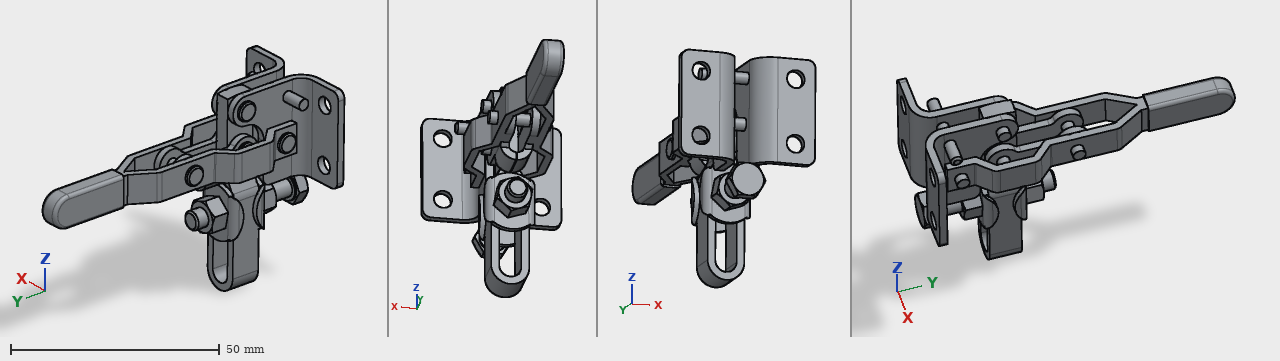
import cadquery as cq
import math

TILT = 0.9
STRIP = 2.0
EPS = 0.0001

BASE_WIDTH = 34.0
BASE_HEIGHT = 26.0
BASE_INNER = STRIP
BASE_OUTER = BASE_INNER + STRIP
BEND_INNER = 3.4
BEND_OUTER = BEND_INNER + STRIP
FLANGE_CORNER = 2.0
MOUNT_HOLE_DIA = 4.4
MOUNT_PITCH_X = 24.0
MOUNT_PITCH_Z = 16.0
FOOT_DEPTH = 14.2
EAR_RADIUS = 4

PIN_DIA = 3.2
HEAD_DIA = 5.15
HEAD_THICKNESS = 1.0
HEAD_EDGE = 0.4
PIN_TAIL = 2.0
STOP_PIN_DIA = 2.9
STOP_PIN_LENGTH = 19.9
STOP_PIN_END = (0.5, 0.6)

HANDLE_Z = 11.1
ARM_Y = 20.05
BASE_TO_HANDLE = (8.9, 10.9)
HANDLE_TO_LINK = (38, HANDLE_Z)
ARM_TO_LINK = (ARM_Y, HANDLE_Z)
BASE_TO_ARM = (ARM_Y, BASE_HEIGHT - EAR_RADIUS)
STOP_PIN_AT = (6.8, 21.9)

STRIP_HEIGHT = 7.9
HANDLE_START = 5.5
HANDLE_INNER = BASE_OUTER
HANDLE_OUTER = HANDLE_INNER + STRIP
BULGE_OUTER = 10.0
BULGE_START = 12.35
BULGE_END = 31.4
FORK_START = 48.7
FORK_END = 55.45
HANDLE_BEND = 2.5
HANDLE_CREASE = 0.5
GRIP_START = 57.1
GRIP_END = 79.0
GRIP_WIDTH = 5.1
GRIP_HEIGHT = 9.0
GRIP_EDGE = 0.95

WAIST_TOP = 12.8
WAIST_FILLET = 1.75
GUTTER_START = 24.4
GUTTER_END = 32.1
GUTTER_GAP = 0.2
RELIEF_LENGTH = 0.8
RELIEF_DEPTH = 1.75
RELIEF_RADIUS = 0.7
GUTTER_LEAD = 0.95

ARM_WIDTH = 8.1
ARM_CORNER_Z = 25.6
ARM_CROWN_Z = 26.0
LOOP_OUTER = 4.7
LOOP_CENTRE_Z = -21.3
SPREAD_TOP = 4.8
SPREAD_BOTTOM = 0.15
SPREAD_BEND_TOP = 2.0
SPREAD_BEND_BOTTOM = 4

SPINDLE_Z = -4.75
WASHER_RADIUS = 7.4
WASHER_THICKNESS = 1.4
WASHER_BEND = 1.9
WASHER_FLANGE = 3.4
FLANGE_EDGE_RADIUS = 7.05
SPINDLE_DIA = 5.0
SPINDLE_END = 33.7
SPINDLE_CHAMFER = 0.5
HEX_FLATS = 8.0
HEX_BEVEL = 0.4
HEX_CORNERS = HEX_FLATS / math.cos(math.radians(30))
HEAD_START = 0.1
SPINDLE_HEAD = 3.2
COLLAR_DIA = 7.0
COLLAR_THICKNESS = 0.5
NUT_THICKNESS = 4.6
NUT_TURN = 19


def cylinder_x(place, diameter, x_start, x_end):
    """Round bar along X at the given (y, z)."""
    return (
        cq.Workplane("YZ", origin=(x_start, 0, 0))
        .center(*place)
        .circle(diameter / 2)
        .extrude(x_end - x_start)
    )


def cylinder_y(diameter, y_start, y_end):
    """Round bar along Y on the spindle axis."""
    return (
        cq.Workplane("XZ", origin=(0, y_start, SPINDLE_Z))
        .circle(diameter / 2)
        .extrude(y_start - y_end)
    )


def box(x_range, y_range, z_range):
    """Block between the given limits."""
    sizes = [end - start for start, end in (x_range, y_range, z_range)]
    return cq.Workplane("XY").box(*sizes, centered=False).translate((x_range[0], y_range[0], z_range[0]))


def both_sides(half):
    """The half on the +X side together with its mirror image."""
    return half.union(half.mirror("YZ"))


def rivet(place, half_stack):
    """Headed pin through a stack of strips; the head is on the -X side."""
    shaft = cylinder_x(place, PIN_DIA, -half_stack, half_stack + PIN_TAIL)
    head = cylinder_x(place, HEAD_DIA, -half_stack - HEAD_THICKNESS, -half_stack)
    return shaft.union(head.faces("<X").edges().chamfer(HEAD_EDGE))


def pin_hole(place):
    """Cutter for a pin hole right across the clamp."""
    return cylinder_x(place, PIN_DIA, -BASE_WIDTH, BASE_WIDTH)


def offset_at_bend(run, rise):
    """Shift of a bend's inner corner along the strip, for a bend that moves `run` across in `rise`."""
    return STRIP * math.tan(math.atan2(run, rise) / 2)




def base_side_outline():
    """Side profile of the base: foot, curved throat and pivot ear."""
    ear_y, ear_z = BASE_TO_ARM
    throat_radius = ear_y - FOOT_DEPTH
    throat_z = ear_z - EAR_RADIUS - throat_radius
    throat_mid = throat_radius * math.sqrt(0.5)
    return (
        cq.Workplane("YZ", origin=(-BASE_WIDTH / 2, 0, 0))
        .lineTo(FOOT_DEPTH - FLANGE_CORNER, 0)
        .radiusArc((FOOT_DEPTH, FLANGE_CORNER), -FLANGE_CORNER)
        .lineTo(FOOT_DEPTH, throat_z)
        .threePointArc((ear_y - throat_mid, throat_z + throat_mid), (ear_y, ear_z - EAR_RADIUS))
        .threePointArc((ear_y + EAR_RADIUS, ear_z), (ear_y, BASE_HEIGHT))
        .lineTo(0, BASE_HEIGHT)
        .close()
        .extrude(BASE_WIDTH)
    )


def base_plate():
    """One bent plate: a mounting flange and a side plate joined by a round bend."""
    half_width = BASE_WIDTH / 2
    plate_reach = BASE_TO_ARM[0] + EAR_RADIUS
    bend_x = BASE_INNER + BEND_OUTER
    plate = (
        cq.Workplane("XY")
        .moveTo(half_width, 0)
        .lineTo(bend_x, 0)
        .radiusArc((BASE_INNER, BEND_OUTER), BEND_OUTER)
        .lineTo(BASE_INNER, plate_reach)
        .lineTo(BASE_OUTER, plate_reach)
        .lineTo(BASE_OUTER, BEND_OUTER)
        .radiusArc((bend_x, STRIP), -BEND_INNER)
        .lineTo(half_width, STRIP)
        .close()
        .extrude(BASE_HEIGHT)
    )
    plate = plate.faces(">X").edges("|Y").fillet(FLANGE_CORNER)
    return plate.intersect(base_side_outline())


def mounting_holes():
    return (
        cq.Workplane("XZ", origin=(0, 0, BASE_HEIGHT / 2))
        .rarray(MOUNT_PITCH_X, MOUNT_PITCH_Z, 2, 2)
        .circle(MOUNT_HOLE_DIA / 2)
        .extrude(-STRIP)
    )


def stop_pin():
    pin = cylinder_x(STOP_PIN_AT, STOP_PIN_DIA, -STOP_PIN_LENGTH / 2, STOP_PIN_LENGTH / 2)
    return pin.faces(">X").chamfer(*STOP_PIN_END)


def make_base():
    plates = both_sides(base_plate()).cut(mounting_holes())
    return (
        plates.union(stop_pin())
        .union(rivet(BASE_TO_HANDLE, HANDLE_OUTER))
        .union(rivet(BASE_TO_ARM, BASE_OUTER))
    )




def handle_strip():
    """One bent strip: straight at the pivot, bulged round the arm, then closing to the grip."""
    step = BULGE_OUTER - HANDLE_OUTER
    bulge_shift = offset_at_bend(step, step)
    fork_shift = offset_at_bend(HANDLE_OUTER - STRIP, FORK_END - FORK_START)
    outer = [
        (HANDLE_OUTER, HANDLE_START),
        (HANDLE_OUTER, BULGE_START),
        (BULGE_OUTER, BULGE_START + step),
        (BULGE_OUTER, BULGE_END - step),
        (HANDLE_OUTER, BULGE_END),
        (HANDLE_OUTER, FORK_START),
        (STRIP, FORK_END),
        (STRIP, GRIP_START),
    ]
    shifts = [0, bulge_shift, bulge_shift, -bulge_shift, -bulge_shift, -fork_shift, -fork_shift, 0]
    inner = [(x - STRIP, y + shift) for (x, y), shift in zip(outer, shifts)]
    strip = (
        cq.Workplane("XY", origin=(0, 0, HANDLE_Z - STRIP_HEIGHT / 2))
        .polyline(outer + inner[::-1])
        .close()
        .extrude(STRIP_HEIGHT)
    )
    bends = [(outer[i], HANDLE_BEND) for i in (2, 3, 5)] + [(outer[i], HANDLE_CREASE) for i in (1, 4)]
    for (x, y), radius in bends:
        corner = cq.selectors.BoxSelector((x - EPS, y - EPS, 0), (x + EPS, y + EPS, BASE_HEIGHT))
        strip = strip.edges(corner).fillet(radius)
    return strip


def grip():
    """Flat sleeve with a round end and softened edges."""
    end_radius = GRIP_HEIGHT / 2
    end_y = GRIP_END - end_radius
    block = (
        cq.Workplane("YZ", origin=(-GRIP_WIDTH / 2, 0, HANDLE_Z))
        .moveTo(GRIP_START, -end_radius)
        .lineTo(end_y, -end_radius)
        .threePointArc((GRIP_END, 0), (end_y, end_radius))
        .lineTo(GRIP_START, end_radius)
        .close()
        .extrude(GRIP_WIDTH)
    )
    return block.faces("<X or >X").edges("not(<Y)").fillet(GRIP_EDGE)


def link_plate():
    """Side plate of the link: two round eyes and a narrower waist."""
    eye_dia = STRIP_HEIGHT
    plate = box(
        (BASE_INNER, BASE_OUTER), (ARM_TO_LINK[0], HANDLE_TO_LINK[0]), (HANDLE_Z - eye_dia / 2, WAIST_TOP)
    )
    for place in (ARM_TO_LINK, HANDLE_TO_LINK):
        plate = plate.union(cylinder_x(place, eye_dia, BASE_INNER, BASE_OUTER))
    waist_corners = cq.selectors.BoxSelector(
        (0, 0, WAIST_TOP - EPS), (BASE_WIDTH, GRIP_END, WAIST_TOP + EPS)
    )
    return plate.edges("|X").edges(waist_corners).fillet(WAIST_FILLET)


def gutter_side_outline():
    """Side profile of the gutter: a rounded relief at the arm and a sloping run-out at the other end."""
    top_z = HANDLE_Z - STRIP_HEIGHT / 2
    bottom_z = top_z - BASE_OUTER
    relief_z = top_z - RELIEF_DEPTH
    relief_y = GUTTER_START + RELIEF_LENGTH
    return (
        cq.Workplane("YZ", origin=(-BASE_OUTER, 0, 0))
        .moveTo(GUTTER_START, bottom_z)
        .lineTo(GUTTER_END, bottom_z)
        .lineTo(GUTTER_END, top_z - GUTTER_LEAD)
        .lineTo(GUTTER_END + GUTTER_LEAD, top_z)
        .lineTo(relief_y, top_z)
        .lineTo(relief_y, relief_z + RELIEF_RADIUS)
        .radiusArc((relief_y - RELIEF_RADIUS, relief_z), RELIEF_RADIUS)
        .lineTo(GUTTER_START, relief_z)
        .close()
        .extrude(2 * BASE_OUTER)
    )


def link_gutter():
    """Half tube under the two link plates, slit along its bottom."""
    top_z = HANDLE_Z - STRIP_HEIGHT / 2
    gutter = (
        cq.Workplane("XZ", origin=(0, GUTTER_START, top_z))
        .moveTo(-BASE_OUTER, 0)
        .threePointArc((0, -BASE_OUTER), (BASE_OUTER, 0))
        .lineTo(BASE_INNER, 0)
        .threePointArc((0, -BASE_INNER), (-BASE_INNER, 0))
        .close()
        .extrude(GUTTER_START - GUTTER_END - GUTTER_LEAD)
    )
    slit = box(
        (-GUTTER_GAP / 2, GUTTER_GAP / 2),
        (GUTTER_START, GUTTER_END + GUTTER_LEAD),
        (top_z - BASE_OUTER, top_z),
    )
    return gutter.intersect(gutter_side_outline()).cut(slit)


def make_handle():
    link = both_sides(link_plate()).union(link_gutter()).cut(pin_hole(ARM_TO_LINK))
    return (
        both_sides(handle_strip())
        .cut(pin_hole(BASE_TO_HANDLE))
        .union(grip())
        .union(link)
        .union(rivet(HANDLE_TO_LINK, HANDLE_OUTER))
    )




def bent_arm():
    """Strip folded into a U: both legs meet in the stem and spread into an open loop below."""
    front_y = ARM_Y - ARM_WIDTH / 2
    loop_inner = LOOP_OUTER - STRIP
    shift = offset_at_bend(loop_inner, SPREAD_TOP - SPREAD_BOTTOM)
    spread_angle = math.atan2(loop_inner, SPREAD_TOP - SPREAD_BOTTOM)
    parting_radius = SPREAD_BEND_TOP + STRIP
    parting_x = parting_radius * (1 - math.cos(spread_angle))
    parting_drop = parting_radius * math.sin(spread_angle)
    parting_z = SPREAD_TOP + shift + parting_radius * math.tan(spread_angle / 2)
    plane = cq.Workplane("XZ", origin=(0, front_y, 0))
    solid = (
        plane.moveTo(-STRIP, ARM_CROWN_Z)
        .lineTo(STRIP, ARM_CROWN_Z)
        .lineTo(STRIP, SPREAD_TOP)
        .lineTo(LOOP_OUTER, SPREAD_BOTTOM)
        .lineTo(LOOP_OUTER, LOOP_CENTRE_Z)
        .threePointArc((0, LOOP_CENTRE_Z - LOOP_OUTER), (-LOOP_OUTER, LOOP_CENTRE_Z))
        .lineTo(-LOOP_OUTER, SPREAD_BOTTOM)
        .lineTo(-STRIP, SPREAD_TOP)
        .close()
        .extrude(-ARM_WIDTH)
    )
    bends = ((STRIP, SPREAD_TOP, SPREAD_BEND_TOP), (LOOP_OUTER, SPREAD_BOTTOM, SPREAD_BEND_BOTTOM))
    for x, z, radius in bends:
        for side in (-x, x):
            corner = cq.selectors.BoxSelector((side - EPS, 0, z - EPS), (side + EPS, BASE_WIDTH, z + EPS))
            solid = solid.edges(corner).fillet(radius)
    opening = (
        plane.moveTo(0, parting_z)
        .radiusArc((parting_x, parting_z - parting_drop), -parting_radius)
        .lineTo(loop_inner, SPREAD_BOTTOM + shift)
        .lineTo(loop_inner, LOOP_CENTRE_Z)
        .threePointArc((0, LOOP_CENTRE_Z - loop_inner), (-loop_inner, LOOP_CENTRE_Z))
        .lineTo(-loop_inner, SPREAD_BOTTOM + shift)
        .lineTo(-parting_x, parting_z - parting_drop)
        .radiusArc((0, parting_z), -parting_radius)
        .close()
        .extrude(-ARM_WIDTH)
    )
    return solid.cut(opening)


def arm_side_outline():
    """Side profile of the arm, with a slightly crowned top."""
    front_y = ARM_Y - ARM_WIDTH / 2
    bottom_z = LOOP_CENTRE_Z - LOOP_OUTER
    return (
        cq.Workplane("YZ", origin=(-LOOP_OUTER, 0, 0))
        .moveTo(front_y, bottom_z)
        .lineTo(front_y + ARM_WIDTH, bottom_z)
        .lineTo(front_y + ARM_WIDTH, ARM_CORNER_Z)
        .threePointArc((ARM_Y, ARM_CROWN_Z), (front_y, ARM_CORNER_Z))
        .close()
        .extrude(2 * LOOP_OUTER)
    )


def back_washer():
    """Round washer on the +Y face of the arm, its sides folded forward round the loop."""
    seat_y = ARM_Y + ARM_WIDTH / 2
    back_y = seat_y + WASHER_THICKNESS
    edge_y = back_y - WASHER_FLANGE
    half_width = LOOP_OUTER + WASHER_THICKNESS
    z_range = (SPINDLE_Z - WASHER_RADIUS, SPINDLE_Z + WASHER_RADIUS)
    channel = box((-half_width, half_width), (edge_y, back_y), z_range)
    channel = channel.edges(">Y and |Z").fillet(WASHER_BEND)
    channel = channel.cut(box((-LOOP_OUTER, LOOP_OUTER), (edge_y, seat_y), z_range))
    web = channel.intersect(box((-LOOP_OUTER, LOOP_OUTER), (seat_y, back_y), z_range))
    web = web.intersect(cylinder_y(2 * WASHER_RADIUS, seat_y, back_y))
    edge_centre = (edge_y + FLANGE_EDGE_RADIUS, SPINDLE_Z)
    flanges = channel.intersect(cylinder_x(edge_centre, 2 * FLANGE_EDGE_RADIUS, LOOP_OUTER, half_width))
    return web.union(both_sides(flanges))


def hexagon(y_start, thickness, turn, bevelled_face):
    """Hexagonal prism on the spindle axis, turned about it, with its corners bevelled at one face."""
    prism = (
        cq.Workplane("XZ", origin=(0, y_start, SPINDLE_Z))
        .polygon(6, HEX_CORNERS)
        .extrude(-thickness)
    )
    bevel_across = (HEX_CORNERS - HEX_FLATS) / 2
    bevel = cylinder_y(HEX_CORNERS, y_start, y_start + thickness)
    bevel = bevel.faces(bevelled_face).chamfer(HEX_BEVEL, bevel_across)
    return prism.intersect(bevel).rotate((0, 0, SPINDLE_Z), (0, 1, SPINDLE_Z), turn)


def spindle():
    """Hexagon-head screw with one nut on each side of the arm."""
    head_end = HEAD_START + SPINDLE_HEAD
    nut_gap = ARM_WIDTH / 2 + WASHER_THICKNESS
    shank = cylinder_y(SPINDLE_DIA, HEAD_START, SPINDLE_END).faces(">Y").chamfer(SPINDLE_CHAMFER)
    return (
        shank.union(hexagon(HEAD_START, SPINDLE_HEAD, 0, "<Y"))
        .union(cylinder_y(COLLAR_DIA, head_end, head_end + COLLAR_THICKNESS))
        .union(hexagon(ARM_Y - nut_gap - NUT_THICKNESS, NUT_THICKNESS, -NUT_TURN, "<Y"))
        .union(hexagon(ARM_Y + nut_gap, NUT_THICKNESS, NUT_TURN, ">Y"))
    )


def make_arm():
    washer = back_washer()
    return (
        bent_arm()
        .intersect(arm_side_outline())
        .cut(pin_hole(BASE_TO_ARM))
        .union(washer)
        .union(washer.mirror("XZ", (0, ARM_Y, 0)))
        .union(spindle())
        .union(rivet(ARM_TO_LINK, BASE_OUTER))
    )


base = make_base()
handle = make_handle()
arm = make_arm()
tilted = [body.rotate((0, 0, 0), (1, 0, 0), TILT).solids().val() for body in (base, handle, arm)]
result = cq.Compound.makeCompound(tilted)